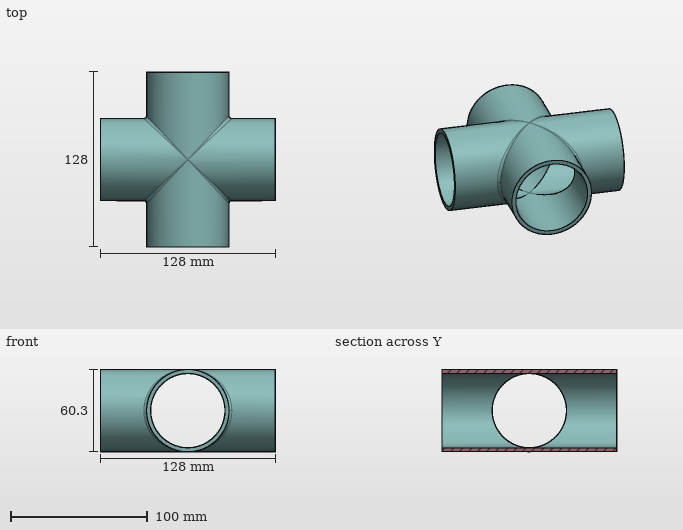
import cadquery as cq

length = 128.0
outer_diameter = 60.3
bore_diameter = 54.3
weld_radius = 2.0


def crossed_cylinders(diameter):
    """Two full-length cylinders along X and Y, joined at the origin."""
    along_x = cq.Workplane("YZ").circle(diameter / 2).extrude(length / 2, both=True)
    along_y = cq.Workplane("XZ").circle(diameter / 2).extrude(length / 2, both=True)
    return along_x.union(along_y)


body = crossed_cylinders(outer_diameter)
body = body.edges("%ELLIPSE").fillet(weld_radius)

result = body.cut(crossed_cylinders(bore_diameter))